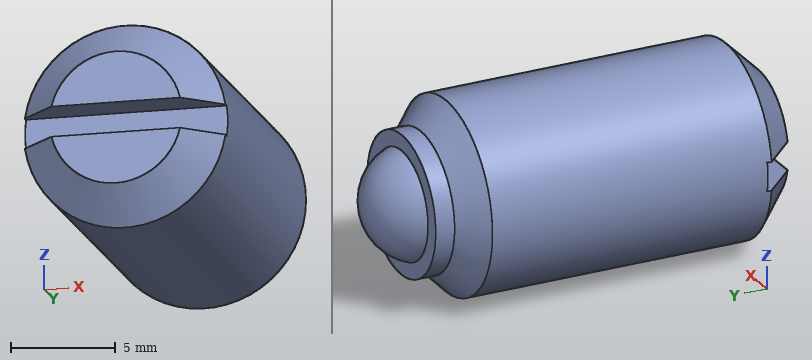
import cadquery as cq

total_length = 21.0
body_radius = 5.0
slotted_end_chamfer = 1.75
collar_radius = 3.65
collar_length = 1.0
ball_radius = 3.0
ball_projection = 2.0
slot_width = 1.5
slot_depth = 1.97

collar_end = total_length - ball_projection
collar_start = collar_end - collar_length
nose_chamfer = body_radius - collar_radius
ball_center = total_length - ball_radius


def make_ball():
    """Full sphere whose tip reaches past the collar."""
    return cq.Workplane("XY").sphere(ball_radius).translate((0, ball_center, 0))


def make_sleeve():
    """Revolved sleeve with a screwdriver slot and a spherical seat for the ball."""
    sleeve = (
        cq.Workplane("XY")
        .moveTo(0, 0)
        .lineTo(body_radius - slotted_end_chamfer, 0)
        .lineTo(body_radius, slotted_end_chamfer)
        .lineTo(body_radius, collar_start - nose_chamfer)
        .lineTo(collar_radius, collar_start)
        .lineTo(collar_radius, collar_end)
        .lineTo(0, collar_end)
        .close()
        .revolve(360, (0, 0, 0), (0, 1, 0))
    )
    slot = cq.Workplane("XY").box(
        2 * body_radius, slot_depth, slot_width, centered=(True, False, True)
    )
    return sleeve.cut(slot).cut(make_ball())


sleeve = make_sleeve()
ball = make_ball()

result = cq.Compound.makeCompound([sleeve.solids().val(), ball.val()])